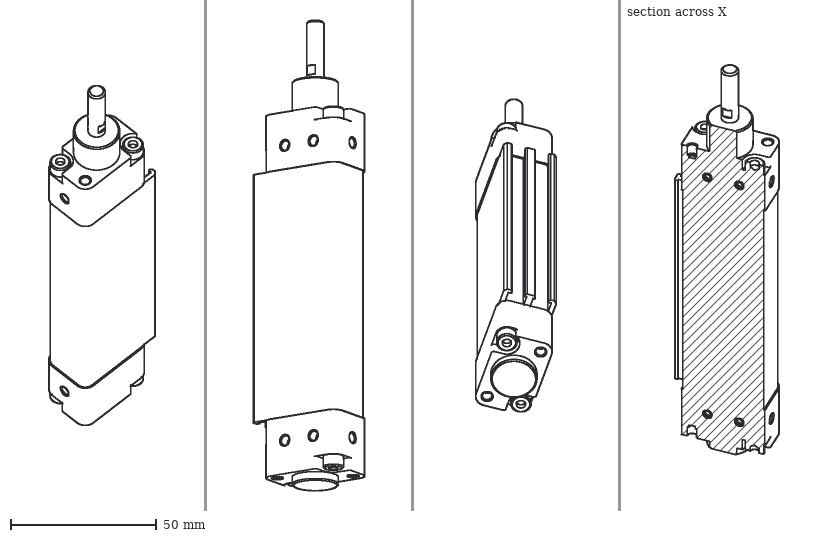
import cadquery as cq
import math

total_height = 164.5
total_depth = 35.5
rear_boss_height = 3.0
cap_height = 20.2
rear_cap_bottom = rear_boss_height
rear_cap_top = rear_cap_bottom + cap_height
front_cap_top = 131.3
front_cap_bottom = front_cap_top - cap_height
collar_top = 143.1

cap_width = 20.0
cap_depth = 31.1
cap_corner_radius = 4.0
collar_diameter = 16.0
collar_chamfer = 0.5

barrel_inset = 0.5
barrel_width = cap_width - 2 * barrel_inset
barrel_depth = cap_depth - 2 * barrel_inset
barrel_corner_radius = cap_corner_radius - barrel_inset

rail_top = total_depth - cap_depth / 2
rail_root = cap_depth / 2 - cap_corner_radius
rail_lip_height = 1.3
rail_step = 0.08
rail_step_start = 12.5
rail_step_end = 13.3
side_rail_outer = barrel_width / 2
side_rail_inner = 7.7
side_rail_lip = 6.5
side_rail_chamfer = 1.0
lip_chamfer = 0.5
middle_rail_half = 1.2
middle_rail_head_half = 1.8

screw_x = cap_width / 2 - cap_corner_radius
screw_y = cap_depth / 2 - cap_corner_radius
screw_head_diameter = 7.0
screw_head_chamfer = 0.5
screw_head_recess = 0.3
screw_socket_diameter = 3.1
screw_socket_depth = 2.0
screw_socket_cone = 1.0
pocket_depth = 4.5
pocket_radius = 4.5
pocket_edge_radius = 0.8

side_hole_spacing = 11.8
side_hole_from_cap_end = 11.8

hole_rim_diameter = 4.1
hole_diameter = 3.3
hole_depth = 4.1
pilot_hole_diameter = 2.3
pilot_hole_depth = 5.0

rod_flat_width = 5.0
rod_flat_depth = 0.53
rod_diameter = rod_flat_width + 2 * rod_flat_depth
rod_chamfer = 0.7
rod_flat_height = 3.3
rod_flat_bottom = 145.3


def rounded_block(width, depth, corner_radius, bottom, top):
    """An upright block centred on the Z axis, with rounded vertical edges."""
    block = cq.Workplane("XY").workplane(offset=bottom).rect(width, depth).extrude(top - bottom)
    return block.edges("|Z").fillet(corner_radius)


def disc(diameter, bottom, top, x=0.0, y=0.0):
    """An upright cylinder."""
    return cq.Workplane("XY", origin=(x, y, bottom)).circle(diameter / 2).extrude(top - bottom)


def corner_pocket(straight_walled):
    """Pocket of the -X, -Y cap corner, open at the cap end at z = 0 and reaching down from there.

    It runs round the screw and straight out through the -X face. Through the -Y face it opens
    with a straight wall, or else where the round wall meets that face.
    """
    wall_x = -screw_x + pocket_radius
    wall_y = -screw_y + pocket_radius
    face_x = -cap_width / 2
    face_y = -cap_depth / 2
    edge = pocket_edge_radius
    round_middle = edge * (1 - math.sqrt(0.5))
    wall_middle = pocket_radius * math.sqrt(0.5)
    outline = cq.Workplane("XY", origin=(0, 0, -pocket_depth)).moveTo(face_x, face_y)
    if straight_walled:
        outline = (
            outline.lineTo(wall_x + edge, face_y)
            .threePointArc((wall_x + round_middle, face_y + round_middle), (wall_x, face_y + edge))
            .lineTo(wall_x, -screw_y)
            .threePointArc((-screw_x + wall_middle, -screw_y + wall_middle), (-screw_x, wall_y))
        )
    else:
        mouth = math.sqrt(pocket_radius**2 - cap_corner_radius**2)
        outline = outline.lineTo(-screw_x + mouth, face_y).threePointArc(
            (wall_x, -screw_y), (-screw_x, wall_y)
        )
    return (
        outline.lineTo(face_x + edge, wall_y)
        .threePointArc((face_x + round_middle, wall_y + round_middle), (face_x, wall_y + edge))
        .close()
        .extrude(pocket_depth)
    )


def screw_head():
    """Screw head in the -X, -Y cap corner, its socket ending in a cone, with the cap end at z = 0."""
    top = -screw_head_recess
    socket_bottom = top - screw_socket_depth
    head = disc(screw_head_diameter, -pocket_depth, top, -screw_x, -screw_y)
    head = head.faces(">Z").edges().chamfer(screw_head_chamfer)
    radius = screw_socket_diameter / 2
    socket = (
        cq.Workplane("XZ", origin=(-screw_x, -screw_y, 0))
        .moveTo(0, top)
        .lineTo(radius, top)
        .lineTo(radius, socket_bottom)
        .lineTo(0, socket_bottom - screw_socket_cone)
        .close()
        .revolve(360, (0, 0, 0), (0, 1, 0))
    )
    return head.cut(socket)


def stepped_hole():
    """A countersunk blind hole reaching down from the origin and narrowing to a pilot hole."""
    bore = hole_diameter / 2
    pilot = pilot_hole_diameter / 2
    rim = hole_rim_diameter / 2
    return (
        cq.Workplane("XZ")
        .lineTo(rim, 0)
        .lineTo(bore, bore - rim)
        .lineTo(bore, -hole_depth)
        .lineTo(pilot, -hole_depth)
        .lineTo(pilot, -pilot_hole_depth)
        .lineTo(0, -pilot_hole_depth)
        .close()
        .revolve(360, (0, 0, 0), (0, 1, 0))
    )


def cut_side_holes(cap):
    """Cut the holes in the -Y and -X faces of a cap whose outer end is at z = 0."""
    level = -side_hole_from_cap_end
    front_hole = stepped_hole().rotate((0, 0, 0), (1, 0, 0), 90)
    left_hole = stepped_hole().rotate((0, 0, 0), (0, 1, 0), -90)
    cap = cap.cut(front_hole.translate((0, -cap_depth / 2, level)))
    for side in (-1, 1):
        cap = cap.cut(left_hole.translate((-cap_width / 2, side * side_hole_spacing / 2, level)))
    return cap


def make_cap():
    """An end cap hanging down from its outer end at z = 0."""
    cap = rounded_block(cap_width, cap_depth, cap_corner_radius, -cap_height, 0)
    for turn, straight_walled in ((0, True), (180, False)):
        cap = cap.cut(corner_pocket(straight_walled).rotate((0, 0, 0), (0, 0, 1), turn))
        cap = cap.union(screw_head().rotate((0, 0, 0), (0, 0, 1), turn))
    for side in (-1, 1):
        cap = cap.cut(stepped_hole().translate((side * screw_x, -side * screw_y, 0)))
    return cut_side_holes(cap)


def side_rail():
    """Hooked rail along the +X edge of the barrel."""
    lip_bottom = rail_top - rail_lip_height
    stepped_outer = side_rail_outer - rail_step
    return (
        cq.Workplane("XY", origin=(0, 0, rear_cap_top))
        .moveTo(side_rail_inner, rail_root)
        .lineTo(side_rail_outer, rail_root)
        .lineTo(side_rail_outer, rail_step_start)
        .lineTo(stepped_outer, rail_step_end)
        .lineTo(stepped_outer, rail_top - side_rail_chamfer)
        .lineTo(stepped_outer - side_rail_chamfer, rail_top)
        .lineTo(side_rail_lip + lip_chamfer, rail_top)
        .lineTo(side_rail_lip, rail_top - lip_chamfer)
        .lineTo(side_rail_lip, lip_bottom)
        .lineTo(side_rail_inner, lip_bottom)
        .close()
        .extrude(front_cap_bottom - rear_cap_top)
    )


def middle_rail():
    """T-shaped rail along the middle of the barrel."""
    lip_bottom = rail_top - rail_lip_height
    half_outline = [
        (0, rail_root),
        (middle_rail_half, rail_root),
        (middle_rail_half, lip_bottom),
        (middle_rail_head_half, lip_bottom),
        (middle_rail_head_half, rail_top - lip_chamfer),
        (middle_rail_head_half - lip_chamfer, rail_top),
        (0, rail_top),
    ]
    return (
        cq.Workplane("XY", origin=(0, 0, rear_cap_top))
        .polyline(half_outline)
        .mirrorY()
        .extrude(front_cap_bottom - rear_cap_top)
    )


def make_barrel():
    """The barrel with its three rails."""
    barrel = rounded_block(barrel_width, barrel_depth, barrel_corner_radius, rear_cap_top, front_cap_bottom)
    rail = side_rail()
    return barrel.union(rail).union(rail.mirror("YZ")).union(middle_rail())


def make_housing():
    """Barrel, both end caps, the front collar and the rear boss."""
    front_cap = make_cap().translate((0, 0, front_cap_top))
    rear_cap = make_cap().mirror("XY").translate((0, 0, rear_cap_bottom))
    collar = disc(collar_diameter, front_cap_top, collar_top).faces(">Z").edges().chamfer(collar_chamfer)
    boss = disc(collar_diameter, 0, rear_cap_bottom).faces("<Z").edges().chamfer(collar_chamfer)
    return make_barrel().union(front_cap).union(rear_cap).union(collar).union(boss)


def make_rod():
    """Piston rod standing on the collar, with two wrench flats."""
    rod = disc(rod_diameter, collar_top, total_height).faces(">Z").edges().chamfer(rod_chamfer)
    flat_middle = rod_flat_bottom + rod_flat_height / 2
    cutter = cq.Workplane("XY").box(rod_diameter, rod_diameter, rod_flat_height)
    cutter_x = (rod_flat_width + rod_diameter) / 2
    for side in (-1, 1):
        rod = rod.cut(cutter.translate((side * cutter_x, 0, flat_middle)))
    return rod


housing = make_housing()
rod = make_rod()
result = cq.Compound.makeCompound([housing.val(), rod.val()])